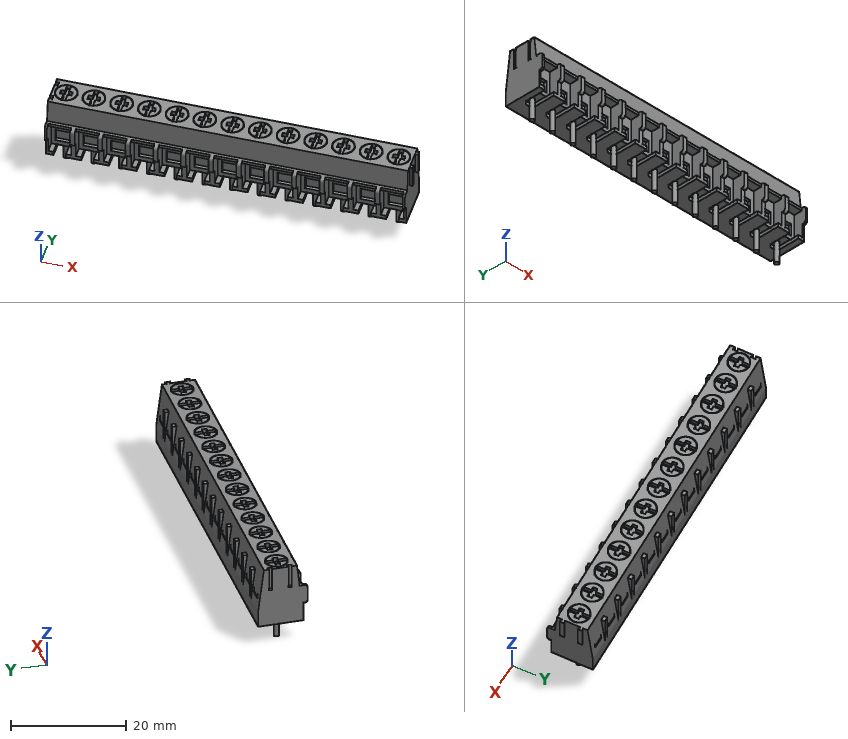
import cadquery as cq

POLES = 13
TOTAL_LENGTH = 65.6
DOVETAIL_LENGTH = 0.57
BODY_LENGTH = TOTAL_LENGTH - DOVETAIL_LENGTH
PITCH = BODY_LENGTH / POLES

TOTAL_DEPTH = 9.0
TOTAL_HEIGHT = 15.0
BODY_BOTTOM = 3.75
NOSE_BOTTOM = 7.3
NOSE_TOP = 10.8
NOSE_RADIUS = 0.6
FRONT_Y = 0.8
TAPER_FRONT_BASE_Y = 1.5
TOP_FRONT_Y = 1.95
TOP_BACK_Y = 7.95
TAPER_BACK_BASE_Z = 6.9

BAY_WIDTH = 4.1
BAY_TOP = NOSE_TOP - NOSE_RADIUS
BAY_FLOOR = 4.5
BAY_BACK_Y = 2.75
LIP_Y = 0.9
WIRE_HOLE_WIDTH = 2.6
WIRE_HOLE_HEIGHT = 2.4
WIRE_HOLE_Z = 6.7
WIRE_HOLE_DEPTH = 0.65

AXIS_Y = 5.0
SCREW_HOLE_DIAMETER = 4.0
SCREW_DIAMETER = 3.8
SCREW_GAP_DEPTH = 1.0
DRIVER_SLOT_WIDTH = 0.7
CROSS_SLOT_LENGTH = 2.1
CROSS_SLOT_WIDTH = 0.85
DRIVER_SLOT_DEPTH = 0.8
PIN_DIAMETER = 1.0
PIN_SLOT_WIDTH = 2.2

RIB_WIDTH = 0.9
RIB_TOP = 12.65
NOTCH_WIDTH = 2.2
NOTCH_TOP = 9.6
NOTCH_BOTTOM = 8.7

DOVETAIL_SPACING = 3.55
DOVETAIL_NECK = 0.5
DOVETAIL_WIDTH = 0.9

pole_centres = [(i + 0.5) * PITCH for i in range(POLES)]
pole_boundaries = [i * PITCH for i in range(1, POLES)]
dovetail_centres = [AXIS_Y - DOVETAIL_SPACING / 2, AXIS_Y + DOVETAIL_SPACING / 2]


def block(x_min, x_max, y_min, y_max, z_min, z_max):
    """Box given by its limits along each axis."""
    size = (x_max - x_min, y_max - y_min, z_max - z_min)
    return cq.Workplane("XY").box(*size, centered=False).translate((x_min, y_min, z_min))


def centred_block(x, width, y_min, y_max, z_min, z_max):
    """Box centred on x, with limits along Y and Z."""
    return block(x - width / 2, x + width / 2, y_min, y_max, z_min, z_max)


def cylinder(x, diameter, z_min, z_max):
    """Upright cylinder on the screw and pin centre line."""
    return cq.Workplane("XY", origin=(x, AXIS_Y, z_min)).circle(diameter / 2).extrude(z_max - z_min)


def housing():
    """Tapered housing with a rounded nose along its front."""
    outline = [
        (FRONT_Y, BODY_BOTTOM),
        (FRONT_Y, NOSE_BOTTOM),
        (0, NOSE_BOTTOM),
        (0, NOSE_TOP),
        (TAPER_FRONT_BASE_Y, NOSE_TOP),
        (TOP_FRONT_Y, TOTAL_HEIGHT),
        (TOP_BACK_Y, TOTAL_HEIGHT),
        (TOTAL_DEPTH, TAPER_BACK_BASE_Z),
        (TOTAL_DEPTH, BODY_BOTTOM),
    ]
    solid = cq.Workplane("YZ").polyline(outline).close().extrude(BODY_LENGTH)
    return solid.edges("|X and <Y").fillet(NOSE_RADIUS)


def wire_bay(x):
    """Open bay under an overhanging lip, with a square wire hole in its back wall."""
    lip_relief = centred_block(x, BAY_WIDTH, 0, LIP_Y, BAY_FLOOR, NOSE_TOP)
    recess = centred_block(x, BAY_WIDTH, 0, BAY_BACK_Y, BAY_FLOOR, BAY_TOP)
    wire_hole = centred_block(
        x,
        WIRE_HOLE_WIDTH,
        BAY_BACK_Y,
        BAY_BACK_Y + WIRE_HOLE_DEPTH,
        WIRE_HOLE_Z - WIRE_HOLE_HEIGHT / 2,
        WIRE_HOLE_Z + WIRE_HOLE_HEIGHT / 2,
    )
    return lip_relief.union(recess).union(wire_hole)


def pin_slot(x):
    """Round-ended slot in the underside, open to the front."""
    straight = centred_block(x, PIN_SLOT_WIDTH, 0, AXIS_Y, BODY_BOTTOM, BAY_FLOOR)
    return straight.union(cylinder(x, PIN_SLOT_WIDTH, BODY_BOTTOM, BAY_FLOOR))


def screw_cut(x):
    """Gap around the screw head, and the cross-shaped driver slots in it."""
    gap_bottom = TOTAL_HEIGHT - SCREW_GAP_DEPTH
    slot_bottom = TOTAL_HEIGHT - DRIVER_SLOT_DEPTH
    head = cylinder(x, SCREW_DIAMETER, gap_bottom, TOTAL_HEIGHT)
    gap = cylinder(x, SCREW_HOLE_DIAMETER, gap_bottom, TOTAL_HEIGHT).cut(head)
    long_slot = centred_block(
        x,
        DRIVER_SLOT_WIDTH,
        AXIS_Y - SCREW_DIAMETER / 2,
        AXIS_Y + SCREW_DIAMETER / 2,
        slot_bottom,
        TOTAL_HEIGHT,
    )
    cross_slot = centred_block(
        x,
        CROSS_SLOT_LENGTH,
        AXIS_Y - CROSS_SLOT_WIDTH / 2,
        AXIS_Y + CROSS_SLOT_WIDTH / 2,
        slot_bottom,
        TOTAL_HEIGHT,
    )
    return gap.union(long_slot).union(cross_slot)


def back_notch(x):
    """Shallow ledge cut into the sloping back face."""
    taper = (TOTAL_DEPTH - TOP_BACK_Y) / (TOTAL_HEIGHT - TAPER_BACK_BASE_Z)
    notch_floor_y = TOP_BACK_Y + taper * (TOTAL_HEIGHT - NOTCH_TOP)
    return centred_block(x, NOTCH_WIDTH, notch_floor_y, TOTAL_DEPTH, NOTCH_BOTTOM, NOTCH_TOP)


def back_rib(x):
    """Upright rib that fills the wedge behind the sloping back face."""
    return centred_block(x, RIB_WIDTH, TOP_BACK_Y, TOTAL_DEPTH, BODY_BOTTOM, RIB_TOP)


def dovetail(x, y):
    """Upright dovetail that widens from x toward +X."""
    outline = [
        (x, y - DOVETAIL_NECK / 2),
        (x + DOVETAIL_LENGTH, y - DOVETAIL_WIDTH / 2),
        (x + DOVETAIL_LENGTH, y + DOVETAIL_WIDTH / 2),
        (x, y + DOVETAIL_NECK / 2),
    ]
    profile = cq.Workplane("XY", origin=(0, 0, NOSE_TOP)).polyline(outline).close()
    return profile.extrude(TOTAL_HEIGHT - NOSE_TOP)


result = housing()
for boundary in pole_boundaries:
    result = result.union(back_rib(boundary))
for centre in pole_centres:
    result = result.cut(wire_bay(centre))
    result = result.cut(pin_slot(centre))
    result = result.cut(screw_cut(centre))
    result = result.cut(back_notch(centre))
    result = result.union(cylinder(centre, PIN_DIAMETER, 0, BAY_FLOOR))
for centre in dovetail_centres:
    result = result.cut(dovetail(0, centre))
    result = result.union(dovetail(BODY_LENGTH, centre))